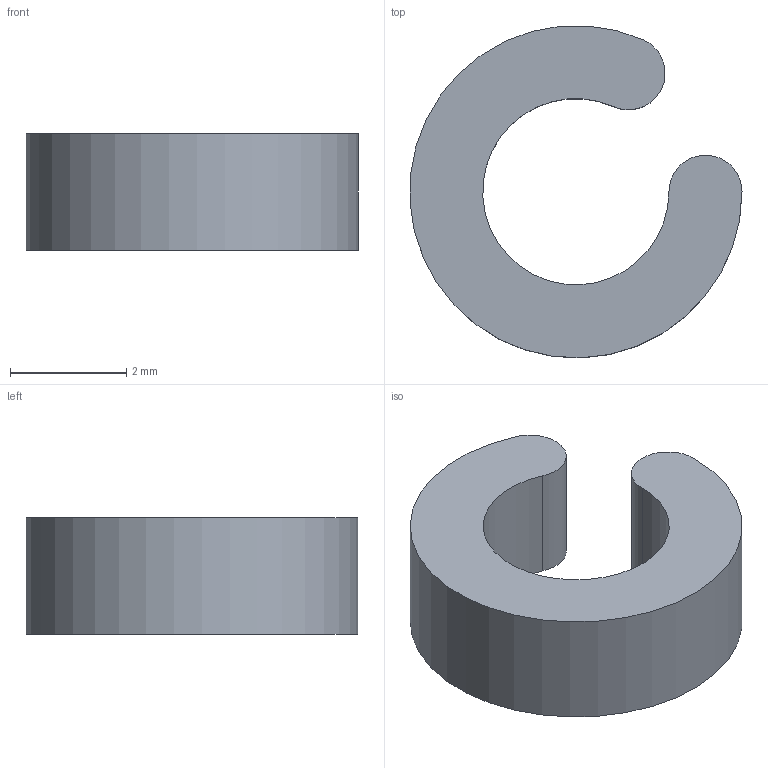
import cadquery as cq
import math

outer_diameter = 5.71
inner_diameter = 3.2
height = 2.0
start_angle = 66.0
end_angle = 360.0

outer_radius = outer_diameter / 2
inner_radius = inner_diameter / 2
middle_radius = (outer_radius + inner_radius) / 2
cap_radius = (outer_radius - inner_radius) / 2
middle_angle = (start_angle + end_angle) / 2


def polar(radius, angle):
    """Point at a radius and an angle in degrees from +X about the ring axis."""
    turn = math.radians(angle)
    return (radius * math.cos(turn), radius * math.sin(turn))


def cap_tip(angle, direction):
    """Tip of the round end at an angle; direction +1 points counter-clockwise."""
    x, y = polar(middle_radius, angle)
    step_x, step_y = polar(cap_radius, angle + direction * 90)
    return (x + step_x, y + step_y)


def open_ring():
    """C-shaped ring whose two ends are full half-rounds."""
    return (
        cq.Workplane("XY")
        .moveTo(*polar(outer_radius, start_angle))
        .threePointArc(polar(outer_radius, middle_angle), polar(outer_radius, end_angle))
        .threePointArc(cap_tip(end_angle, 1), polar(inner_radius, end_angle))
        .threePointArc(polar(inner_radius, middle_angle), polar(inner_radius, start_angle))
        .threePointArc(cap_tip(start_angle, -1), polar(outer_radius, start_angle))
        .close()
        .extrude(height)
    )


result = open_ring()